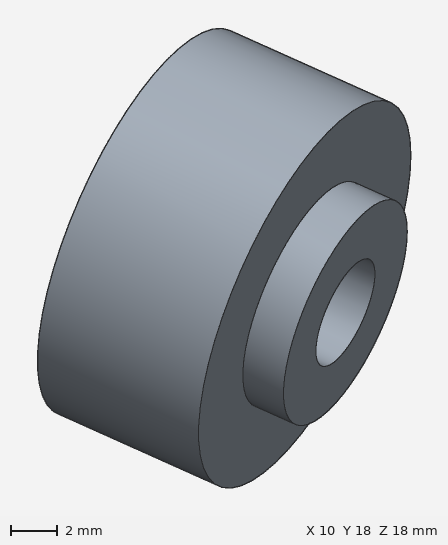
import cadquery as cq

wheel_diameter = 18
hub_diameter = 10.5
bore_diameter = 5.0
wheel_width = 8.0
overall_width = 10.0

wheel = cq.Workplane("YZ").circle(wheel_diameter / 2).extrude(wheel_width)

hub = cq.Workplane("YZ").circle(hub_diameter / 2).extrude(overall_width)

bore = cq.Workplane("YZ").circle(bore_diameter / 2).extrude(overall_width)

result = wheel.union(hub).cut(bore)